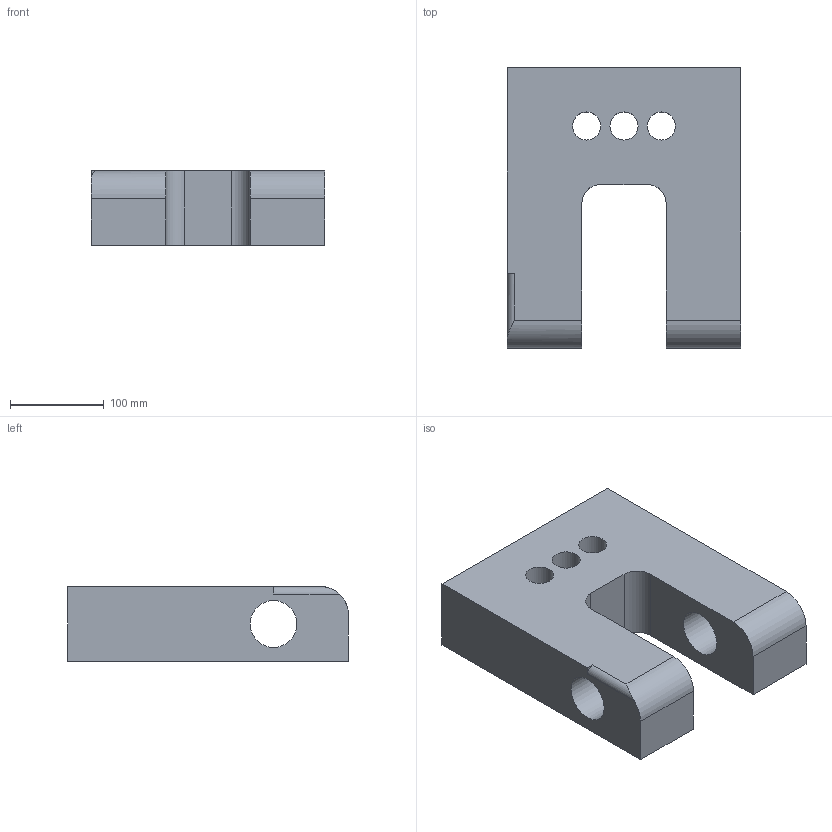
import cadquery as cq

WIDTH = 250.0
LENGTH = 300.0
HEIGHT = 80.0

ARM_WIDTH = 80.0
SLOT_WIDTH = WIDTH - 2 * ARM_WIDTH
SLOT_DEPTH = 175.0
SLOT_CORNER_RADIUS = 20.0

TIP_RADIUS = 30.0

CROSS_HOLE_DIAMETER = 50.0
CROSS_HOLE_Y = 80.0
CROSS_HOLE_Z = HEIGHT / 2

ROW_HOLE_DIAMETER = 30.0
ROW_HOLE_COUNT = 3
ROW_HOLE_PITCH = 40.0
ROW_HOLE_Y = (SLOT_DEPTH + LENGTH) / 2

EDGE_RADIUS = 8.0
EDGE_LENGTH = CROSS_HOLE_Y


def make_block():
    """Plain block with the upper edge of its open end rounded."""
    block = cq.Workplane("XY").box(WIDTH, LENGTH, HEIGHT, centered=False)
    return block.faces("<Y").edges(">Z").fillet(TIP_RADIUS)


def make_slot():
    """Cutter for the slot, with both inner corners rounded."""
    slot = cq.Workplane("XY").box(SLOT_WIDTH, SLOT_DEPTH, HEIGHT, centered=False)
    slot = slot.faces(">Y").edges("|Z").fillet(SLOT_CORNER_RADIUS)
    return slot.translate((ARM_WIDTH, 0, 0))


def make_cross_hole():
    """Cutter for the hole along X through both arms."""
    hole = cq.Workplane("YZ").center(CROSS_HOLE_Y, CROSS_HOLE_Z)
    return hole.circle(CROSS_HOLE_DIAMETER / 2).extrude(WIDTH)


def make_row_holes():
    """Cutter for the row of vertical through holes."""
    row = cq.Workplane("XY").center(WIDTH / 2, ROW_HOLE_Y)
    row = row.rarray(ROW_HOLE_PITCH, 1, ROW_HOLE_COUNT, 1)
    return row.circle(ROW_HOLE_DIAMETER / 2).extrude(HEIGHT)


def make_edge_rounding():
    """Cutter for the rounded edge: a square bar less the cylinder that stays on the arm."""
    bar = cq.Workplane("XY").box(EDGE_RADIUS, EDGE_LENGTH, EDGE_RADIUS, centered=False)
    bar = bar.translate((0, 0, HEIGHT - EDGE_RADIUS))
    cylinder = cq.Workplane("XZ").center(EDGE_RADIUS, HEIGHT - EDGE_RADIUS)
    cylinder = cylinder.circle(EDGE_RADIUS).extrude(-EDGE_LENGTH)
    return bar.cut(cylinder)


result = (
    make_block()
    .cut(make_slot())
    .cut(make_cross_hole())
    .cut(make_row_holes())
    .cut(make_edge_rounding())
)